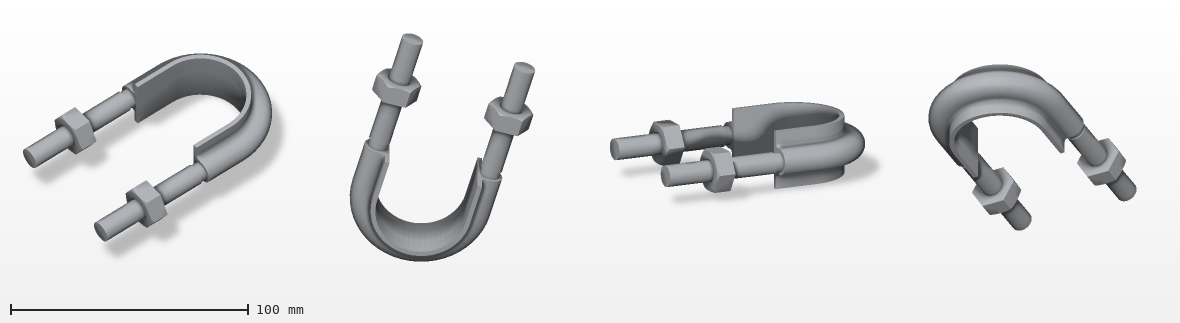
import cadquery as cq
import math

leg_spacing = 49.0
bend_radius = leg_spacing / 2
core_diameter = 8.2
thread_diameter = 9.2
thread_length = 50.0

strip_width = 25.0
strip_outer_radius = 21.3
strip_thickness = 2.0
strip_inner_radius = strip_outer_radius - strip_thickness
bead_wall = 1.5
bead_radius = core_diameter / 2 + bead_wall
bead_root_fillet = 1.5
sleeve_end_y = -18.5

overall_length = 101.85
leg_tip_y = bend_radius + bead_radius - overall_length
thread_start_y = leg_tip_y + thread_length

nut_across_flats = 17.0
nut_height = 8.0
nut_tip_distance = 20.0
nut_across_corners = nut_across_flats / math.cos(math.radians(30))
nut_bevel_angle = 30.0
countersink_diameter = 10.1
countersink_depth = (countersink_diameter - thread_diameter) / 2
nut_front_y = leg_tip_y + nut_tip_distance

leg_sides = (-1, 1)


def plane_at_y(y):
    """Sketch plane at the given y: local x is X, local y is Z, and extrusion runs toward -Y."""
    return cq.Workplane(cq.Plane(origin=(0, y, 0), xDir=(1, 0, 0), normal=(0, -1, 0)))


def rod_along_y(x, y_from, y_to, diameter):
    return plane_at_y(y_to).center(x, 0).circle(diameter / 2).extrude(y_to - y_from)


def make_u_bolt():
    core_section = plane_at_y(0).center(bend_radius, 0).circle(core_diameter / 2)
    bolt = core_section.revolve(180, (-bend_radius, 0, 0), (-bend_radius, 1, 0))
    for side in leg_sides:
        x = side * bend_radius
        bolt = bolt.union(rod_along_y(x, thread_start_y, 0, core_diameter))
        bolt = bolt.union(rod_along_y(x, leg_tip_y, thread_start_y, thread_diameter))
    return bolt


def sleeve_section():
    """Cross-section of the sleeve on the +X leg: flat strip plus filleted bead."""
    half_width = strip_width / 2
    fillet_end_x = strip_outer_radius + bead_root_fillet
    fillet_end_z = bead_radius + bead_root_fillet
    fillet_mid_inset = bead_root_fillet * (1 - math.cos(math.radians(45)))
    fillet_mid_x = strip_outer_radius + fillet_mid_inset
    fillet_mid_z = bead_radius + fillet_mid_inset
    return (
        plane_at_y(0)
        .moveTo(strip_inner_radius, -half_width)
        .lineTo(strip_outer_radius, -half_width)
        .lineTo(strip_outer_radius, -fillet_end_z)
        .threePointArc((fillet_mid_x, -fillet_mid_z), (fillet_end_x, -bead_radius))
        .lineTo(bend_radius, -bead_radius)
        .threePointArc((bend_radius + bead_radius, 0), (bend_radius, bead_radius))
        .lineTo(fillet_end_x, bead_radius)
        .threePointArc((fillet_mid_x, fillet_mid_z), (strip_outer_radius, fillet_end_z))
        .lineTo(strip_outer_radius, half_width)
        .lineTo(strip_inner_radius, half_width)
        .close()
    )


def make_sleeve(bolt):
    arch = sleeve_section().revolve(180, (0, 0, 0), (0, 1, 0))
    leg = sleeve_section().extrude(-sleeve_end_y)
    return arch.union(leg).union(leg.mirror("YZ")).cut(bolt)


def make_nut(x):
    nut = plane_at_y(nut_front_y + nut_height).polygon(6, nut_across_corners).extrude(nut_height)
    cone_growth = nut_height / math.tan(math.radians(nut_bevel_angle))
    face_radius = nut_across_flats / 2
    bevel_cone = (
        cq.Workplane("XY")
        .moveTo(0, nut_front_y)
        .lineTo(face_radius, nut_front_y)
        .lineTo(face_radius + cone_growth, nut_front_y + nut_height)
        .lineTo(0, nut_front_y + nut_height)
        .close()
        .revolve(360, (0, 0, 0), (0, 1, 0))
    )
    bore = rod_along_y(0, nut_front_y, nut_front_y + nut_height, thread_diameter)
    nut = nut.intersect(bevel_cone).cut(bore)
    bore_rim = nut.faces("<Y").edges("%CIRCLE").edges(cq.selectors.RadiusNthSelector(0))
    return bore_rim.chamfer(countersink_depth).translate((x, 0, 0))


u_bolt = make_u_bolt()
sleeve = make_sleeve(u_bolt)
nuts = [make_nut(side * bend_radius) for side in leg_sides]

result = cq.Compound.makeCompound([u_bolt.val(), sleeve.val(), *[nut.val() for nut in nuts]])